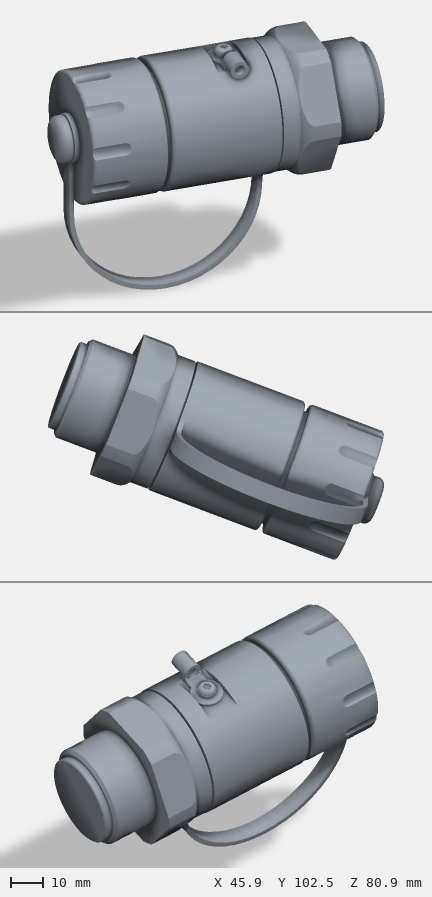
import cadquery as cq
import math

LENGTH = 102.5

SPIGOT_END = 2.5
NECK_END = 17.3
HEX_END = 29.4
COLLAR_END = 35.1
SLEEVE_START = 35.7
SLEEVE_END = 70.9
CAP_START = 72.5
CAP_END = 96.7

SPIGOT_DIA = 28.0
NECK_DIA = 32.0
COLLAR_DIA = 41.5
REAR_GROOVE_DIA = 35.0
SLEEVE_DIA = 42.0
FRONT_GROOVE_DIA = 36.7
SPIGOT_CHAMFER = 0.3
NECK_CHAMFER = 0.9
SLEEVE_FILLET = 1.0

HEX_FLATS = 42.0
HEX_DIA = 45.9
HEX_TURN = 30.0
HEX_ROUND = 3.9
SIN_45 = math.sin(math.pi / 4)

SLOT_COUNT = 10
SLOT_PHASE = 5.7
SLOT_DIA = 5.5
SLOT_WIDTH = 3.9
SLOT_START = 84.5

STRAP_WIDTH = 5.3
STRAP_THICK = 1.5
STRAP_FRONT = CAP_END + STRAP_THICK
STRAP_BEND_Z = -25.0
STRAP_FLARE = 5.1
EYE_DIA = 15.7

BUTTON_DIA = 15.0
BUTTON_REAR_CHAMFER = 0.5
BUTTON_EDGE = 100.1
BUTTON_ROUND = 2.0
BUTTON_ROUND_ANGLE = math.radians(55)
BUTTON_FACE_DIA = 8.7

LUG_STATION = 47.3
POCKET_WIDTH = 10.2
POCKET_FLOOR = 19.0
LUG_DIA = 10.0
LUG_THICK = 0.9
LUG_TOP = POCKET_FLOOR + LUG_THICK
BARREL_DIA = 5.7
BARREL_BORE = 3.3
BARREL_START = 7.6
BARREL_LENGTH = 7.2
BARREL_Z = 21.8
RAMP_START = 6.8
CHEEK_THICK = 0.6
CHEEK_STEP_Z = 21.0
CHEEK_TOP = 21.8
CHEEK_FOOT_END = 8.8
CHEEK_TOP_END = 9.7
LUG_TAPER_END = 4.3
SCREW_RIM_DIA = 5.7
SCREW_DOME_DIA = 5.5
SCREW_DOME_START = 21.2
SCREW_TOP = 22.5
SCREW_ROUND = 1.2
RECESS_CORE_DIA = 2.0
RECESS_DIA = 2.7
RECESS_LOBE_DIA = 0.7
RECESS_LOBES = 6
RECESS_DEPTH = 0.8


def disc(diameter, start, end):
    """Cylinder on the Y axis between two stations."""
    return cq.Workplane("XZ", origin=(0, -start, 0)).circle(diameter / 2).extrude(end - start)


def body():
    """Stepped round body without hexagon, cap slots and lug pocket."""
    spigot = disc(SPIGOT_DIA, 0, SPIGOT_END).faces(">Y").chamfer(SPIGOT_CHAMFER)
    neck = disc(NECK_DIA, SPIGOT_END, NECK_END).faces(">Y").chamfer(NECK_CHAMFER)
    collar = disc(COLLAR_DIA, HEX_END, COLLAR_END)
    rear_groove = disc(REAR_GROOVE_DIA, COLLAR_END, SLEEVE_START)
    sleeve = disc(SLEEVE_DIA, SLEEVE_START, SLEEVE_END).faces("<Y").edges().fillet(SLEEVE_FILLET)
    front_groove = disc(FRONT_GROOVE_DIA, SLEEVE_END, CAP_START)
    return spigot.union(neck).union(collar).union(rear_groove).union(sleeve).union(front_groove)


def hexagon():
    """Hexagon with turned corners, rounded into a 45 degree bevel at the front."""
    prism = (
        cq.Workplane("XZ", origin=(0, -NECK_END, 0))
        .polygon(6, HEX_FLATS, circumscribed=True)
        .extrude(HEX_END - NECK_END)
        .rotate((0, 0, 0), (0, 1, 0), HEX_TURN)
    )
    corner = HEX_DIA / 2
    bevel_end = COLLAR_DIA / 2
    bevel_start = corner - HEX_ROUND * (1 - SIN_45)
    bevel_station = HEX_END - (bevel_start - bevel_end)
    round_station = bevel_station - HEX_ROUND * SIN_45
    turned = (
        cq.Workplane("XY")
        .moveTo(0, -NECK_END)
        .lineTo(corner, -NECK_END)
        .lineTo(corner, -round_station)
        .tangentArcPoint((bevel_start, -bevel_station), relative=False)
        .lineTo(bevel_end, -HEX_END)
        .lineTo(0, -HEX_END)
        .close()
        .revolve(360, (0, 0, 0), (0, 1, 0))
    )
    return prism.intersect(turned)


def cap():
    """Cap with round-nosed grip slots that run out at its front face."""
    shell = disc(SLEEVE_DIA, CAP_START, CAP_END).faces("<Y or >Y").edges().fillet(SLEEVE_FILLET)
    cap_radius = SLEEVE_DIA / 2
    half_width = SLOT_WIDTH / 2
    slot_radius = SLOT_DIA / 2
    axis_radius = math.sqrt(cap_radius**2 - half_width**2) + math.sqrt(slot_radius**2 - half_width**2)
    nose_station = SLOT_START + half_width
    cutter = (
        cq.Workplane("XZ", origin=(0, -nose_station, axis_radius))
        .circle(slot_radius)
        .extrude(LENGTH - nose_station)
        .union(cq.Workplane("XY", origin=(0, -nose_station, axis_radius)).sphere(slot_radius))
    )
    for i in range(SLOT_COUNT):
        angle = SLOT_PHASE + i * 360 / SLOT_COUNT
        shell = shell.cut(cutter.rotate((0, 0, 0), (0, 1, 0), angle))
    return shell


def flared_eye(diameter, start):
    """Strap eye that runs with concave flares into the straight strap below it."""
    radius = diameter / 2
    half_width = STRAP_WIDTH / 2
    flare_x = half_width + STRAP_FLARE
    flare_z = -math.sqrt((radius + STRAP_FLARE) ** 2 - flare_x**2)
    touch = radius / (radius + STRAP_FLARE)
    touch_x = flare_x * touch
    touch_z = flare_z * touch
    plane = cq.Workplane("XZ", origin=(0, -start, 0))
    flare = (
        plane.lineTo(touch_x, touch_z)
        .radiusArc((half_width, flare_z), -STRAP_FLARE)
        .lineTo(-half_width, flare_z)
        .radiusArc((-touch_x, touch_z), -STRAP_FLARE)
        .close()
        .extrude(STRAP_THICK)
    )
    return disc(diameter, start, start + STRAP_THICK).union(flare)


def strap():
    """Strap looping below the body from the sleeve to the button."""
    outer = (STRAP_FRONT - SLEEVE_START) / 2
    inner = outer - STRAP_THICK
    middle = (STRAP_FRONT + SLEEVE_START) / 2
    loop = (
        cq.Workplane("YZ", origin=(-STRAP_WIDTH / 2, 0, 0))
        .moveTo(-middle - outer, 0)
        .lineTo(-middle - outer, STRAP_BEND_Z)
        .threePointArc((-middle, STRAP_BEND_Z - outer), (-middle + outer, STRAP_BEND_Z))
        .lineTo(-middle + outer, 0)
        .lineTo(-middle + inner, 0)
        .lineTo(-middle + inner, STRAP_BEND_Z)
        .threePointArc((-middle, STRAP_BEND_Z - inner), (-middle - inner, STRAP_BEND_Z))
        .lineTo(-middle - inner, 0)
        .close()
        .extrude(STRAP_WIDTH)
    )
    return loop.union(flared_eye(EYE_DIA, CAP_END)).union(flared_eye(SLEEVE_DIA, SLEEVE_START))


def button():
    """Button that holds the front strap eye, with a rounded edge and a domed rim."""
    radius = BUTTON_DIA / 2
    rim_radius = radius - BUTTON_ROUND * (1 - math.cos(BUTTON_ROUND_ANGLE))
    rim_station = BUTTON_EDGE + BUTTON_ROUND * math.sin(BUTTON_ROUND_ANGLE)
    return (
        cq.Workplane("XY")
        .moveTo(0, -STRAP_FRONT)
        .lineTo(radius - BUTTON_REAR_CHAMFER, -STRAP_FRONT)
        .lineTo(radius, -STRAP_FRONT - BUTTON_REAR_CHAMFER)
        .lineTo(radius, -BUTTON_EDGE)
        .tangentArcPoint((rim_radius, -rim_station), relative=False)
        .tangentArcPoint((BUTTON_FACE_DIA / 2, -LENGTH), relative=False)
        .lineTo(0, -LENGTH)
        .close()
        .revolve(360, (0, 0, 0), (0, 1, 0))
    )


def pocket():
    """Flat-bottomed cutter across the top of the sleeve."""
    return (
        cq.Workplane("XY", origin=(0, -LUG_STATION, POCKET_FLOOR))
        .rect(SLEEVE_DIA, POCKET_WIDTH)
        .extrude(SLEEVE_DIA / 2)
    )


def cheek(side):
    """Side wall that carries the barrel on one edge of the tab; side is +1 or -1 along Y."""
    outer = BARREL_DIA / 2
    wall = (
        cq.Workplane("XZ", origin=(0, -LUG_STATION - outer + CHEEK_THICK, 0))
        .moveTo(RAMP_START, POCKET_FLOOR)
        .lineTo(RAMP_START, LUG_TOP)
        .lineTo(BARREL_START, CHEEK_STEP_Z)
        .lineTo(BARREL_START, CHEEK_TOP)
        .lineTo(CHEEK_TOP_END, CHEEK_TOP)
        .lineTo(CHEEK_FOOT_END, POCKET_FLOOR)
        .close()
        .extrude(CHEEK_THICK)
    )
    if side > 0:
        return wall.mirror("XZ", (0, -LUG_STATION, 0))
    return wall


def lug():
    """Cable lug: flat eye, tapered tab, ramp, side cheeks and crimp barrel."""
    plane = cq.Workplane("XY", origin=(0, -LUG_STATION, POCKET_FLOOR))
    eye = plane.circle(LUG_DIA / 2).extrude(LUG_THICK)
    half_tab = BARREL_DIA / 2
    corner_distance = math.hypot(LUG_TAPER_END, half_tab)
    touch_angle = math.atan2(half_tab, LUG_TAPER_END) + math.acos(LUG_DIA / 2 / corner_distance)
    touch_x = LUG_DIA / 2 * math.cos(touch_angle)
    touch_y = LUG_DIA / 2 * math.sin(touch_angle)
    tab = (
        plane.moveTo(touch_x, touch_y)
        .lineTo(LUG_TAPER_END, half_tab)
        .lineTo(BARREL_START, half_tab)
        .lineTo(BARREL_START, -half_tab)
        .lineTo(LUG_TAPER_END, -half_tab)
        .lineTo(touch_x, -touch_y)
        .close()
        .extrude(LUG_THICK)
    )
    ramp = (
        cq.Workplane("XZ", origin=(0, -LUG_STATION + half_tab, 0))
        .moveTo(RAMP_START, LUG_TOP)
        .lineTo(BARREL_START, BARREL_Z - BARREL_BORE / 2)
        .lineTo(BARREL_START, LUG_TOP)
        .close()
        .extrude(BARREL_DIA)
    )
    barrel = (
        cq.Workplane("YZ", origin=(BARREL_START, -LUG_STATION, BARREL_Z))
        .circle(BARREL_DIA / 2)
        .circle(BARREL_BORE / 2)
        .extrude(BARREL_LENGTH)
    )
    return eye.union(tab).union(ramp).union(barrel).union(cheek(1)).union(cheek(-1))


def screw():
    """Round-topped screw head with a six-lobed drive recess."""
    rim = (
        cq.Workplane("XY", origin=(0, -LUG_STATION, LUG_TOP))
        .circle(SCREW_RIM_DIA / 2)
        .extrude(SCREW_DOME_START - LUG_TOP)
    )
    dome = (
        cq.Workplane("XY", origin=(0, -LUG_STATION, SCREW_DOME_START))
        .circle(SCREW_DOME_DIA / 2)
        .extrude(SCREW_TOP - SCREW_DOME_START)
        .faces(">Z")
        .edges()
        .fillet(SCREW_ROUND)
    )
    top = cq.Workplane("XY", origin=(0, -LUG_STATION, SCREW_TOP))
    core = top.circle(RECESS_CORE_DIA / 2).extrude(-RECESS_DEPTH)
    lobes = (
        top.polarArray((RECESS_DIA - RECESS_LOBE_DIA) / 2, 0, 360, RECESS_LOBES)
        .circle(RECESS_LOBE_DIA / 2)
        .extrude(-RECESS_DEPTH)
    )
    return rim.union(dome).cut(core).cut(lobes)


plug = body().union(hexagon()).union(cap()).cut(pocket())
result = plug.union(strap()).union(button()).union(lug()).union(screw())